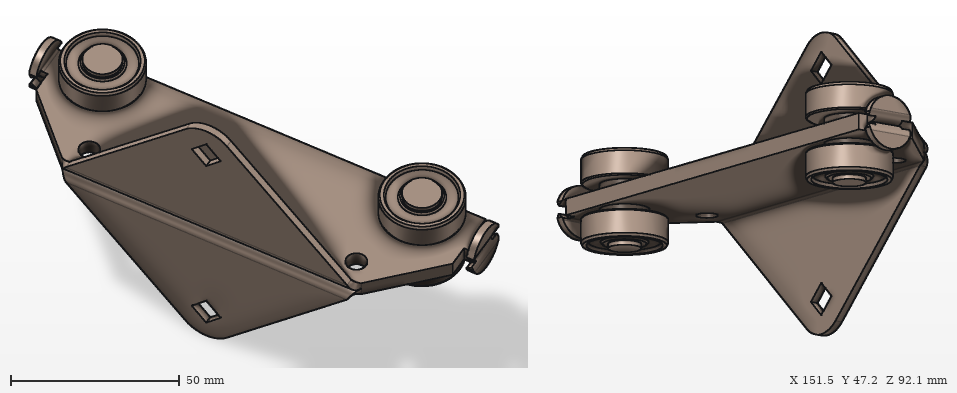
import cadquery as cq
import math


overall_length = 151.5
plate_thickness = 5.0
sheet = plate_thickness / 2
bend_inner_radius = 0.83
bend_radius = sheet + bend_inner_radius

bend_steps = 4

plate_half_length = 70.9
plate_back = 9.2
plate_corner_y = -10.9
flange_front = -34.2
bend_start_y = flange_front + bend_radius
bend_half_length = plate_half_length - (plate_corner_y - bend_start_y)

flange_half_width = 47.9
flange_apex = 50.0
flange_corner_radius = 10.0
square_hole_side = 7.0
square_hole_height = 35.3

plate_hole_diameter = 6.5
plate_hole_x = 45.5
plate_hole_y = -24.1

disc_diameter = 16.2
disc_width = 15.5
disc_y = 1.0
tab_width = 10.0
relief_angle = math.radians(50)
disc_outer_x = overall_length / 2

roller_x = 54.4
roller_radius = 26.0 / 2
roller_inner_z = 5.2
roller_outer_z = 13.5
chamfer_width = 0.5
outer_chamfer_height = 0.9
inner_chamfer_height = 0.5
recess_rim_radius = 22.7 / 2
recess_floor_radius = 21.7 / 2
recess_depth = 1.0
race_base_radius = 14.4 / 2
race_top_radius = 13.2 / 2
race_height = 0.6
spacer_radius = 15.0 / 2
rivet_head_radius = 12.0 / 2
rivet_tail_radius = 10.0 / 2
rivet_end_z = 14.4


def bent_sheet_profile(workplane, inner_end, outer_face, height):
    """Upper sheet section: flat from inner_end, then bent up to height at outer_face."""
    side = math.copysign(1, outer_face - inner_end)
    bend_start = outer_face - side * bend_radius
    diagonal = math.sqrt(0.5)
    return (
        workplane.moveTo(inner_end, 0)
        .lineTo(bend_start, 0)
        .threePointArc(
            (bend_start + side * bend_radius * diagonal, bend_radius * (1 - diagonal)),
            (outer_face, bend_radius),
        )
        .lineTo(outer_face, height)
        .lineTo(outer_face - side * sheet, height)
        .lineTo(outer_face - side * sheet, bend_radius)
        .threePointArc(
            (bend_start + side * bend_inner_radius * diagonal, bend_radius - bend_inner_radius * diagonal),
            (bend_start, sheet),
        )
        .lineTo(inner_end, sheet)
        .close()
    )


def bend_envelope():
    """Block around the flange bend whose ends taper evenly with the bend angle."""
    near_radius = bend_inner_radius / 2
    far_radius = bend_radius * 1.5
    stations = []
    for step in range(bend_steps + 1):
        progress = step / bend_steps
        angle = progress * math.pi / 2
        half_width = bend_half_length + progress * (flange_half_width - bend_half_length)
        corners = [
            (x, bend_start_y - radius * math.sin(angle), bend_radius - radius * math.cos(angle))
            for x, radius in (
                (-half_width, near_radius),
                (half_width, near_radius),
                (half_width, far_radius),
                (-half_width, far_radius),
            )
        ]
        stations.append(cq.Wire.makePolygon([cq.Vector(*corner) for corner in corners], close=True))
    return cq.Workplane(cq.Solid.makeLoft(stations, False))


def upper_plate_and_flange():
    """Sheet with its diamond-shaped flange, above Z = 0."""
    section = bent_sheet_profile(cq.Workplane("YZ"), plate_back, flange_front, flange_apex)
    sheet_body = section.extrude(plate_half_length, both=True)

    plate_outline = (
        cq.Workplane("XY")
        .polyline([
            (-plate_half_length, plate_back),
            (-plate_half_length, plate_corner_y),
            (-bend_half_length, bend_start_y),
            (bend_half_length, bend_start_y),
            (plate_half_length, plate_corner_y),
            (plate_half_length, plate_back),
        ])
        .close()
        .extrude(sheet)
    )
    flange_outline = (
        cq.Workplane("XZ", origin=(0, flange_front, 0))
        .polyline([(-flange_half_width, bend_radius), (flange_half_width, bend_radius), (0, flange_apex)])
        .close()
        .extrude(-sheet)
        .edges(">Z")
        .fillet(flange_corner_radius)
    )
    plate = sheet_body.intersect(plate_outline)
    bend = sheet_body.intersect(bend_envelope())
    flange = sheet_body.intersect(flange_outline)
    return plate.union(bend).union(flange)


def upper_end_tab():
    """Tab at the +X end, bent up into half of a bumper disc."""
    disc_radius = disc_diameter / 2
    section = bent_sheet_profile(
        cq.Workplane("XZ", origin=(0, disc_y, 0)), plate_half_length, disc_outer_x, disc_radius
    )
    disc = (
        cq.Workplane("YZ", origin=(plate_half_length, disc_y, 0))
        .circle(disc_radius)
        .extrude(disc_outer_x - plate_half_length)
    )
    tab = section.extrude(disc_width / 2, both=True).intersect(disc)

    bend_axis_x = disc_outer_x - bend_radius
    relief_width = (disc_width - tab_width) / 2
    for side in (-1, 1):
        y = disc_y + side * (tab_width + relief_width) / 2
        relief = (
            cq.Workplane("XZ", origin=(0, y, 0))
            .polyline([
                (plate_half_length, 0),
                (bend_axis_x + bend_radius * math.tan(relief_angle), 0),
                (bend_axis_x, bend_radius),
                (plate_half_length, bend_radius),
            ])
            .close()
            .extrude(relief_width / 2, both=True)
        )
        tab = tab.cut(relief)
    return tab


def roller():
    """Upper roller with spacer and bearing race, turned about Z."""
    floor_z = roller_outer_z - recess_depth
    return (
        cq.Workplane("XZ")
        .polyline([
            (0, 0),
            (spacer_radius, 0),
            (spacer_radius, roller_inner_z),
            (roller_radius - chamfer_width, roller_inner_z),
            (roller_radius, roller_inner_z + inner_chamfer_height),
            (roller_radius, roller_outer_z - outer_chamfer_height),
            (roller_radius - chamfer_width, roller_outer_z),
            (recess_rim_radius, roller_outer_z),
            (recess_floor_radius, floor_z),
            (race_base_radius, floor_z),
            (race_top_radius, floor_z + race_height),
            (0, floor_z + race_height),
        ])
        .close()
        .revolve(360, (0, 0), (0, 1))
    )


def roller_pair():
    """Two opposed rollers on a rivet with a wide head on top and a narrow tail below."""
    upper = roller()
    head = cq.Workplane("XY").circle(rivet_head_radius).extrude(rivet_end_z)
    tail = cq.Workplane("XY").circle(rivet_tail_radius).extrude(-rivet_end_z)
    return upper.union(upper.mirror("XY")).union(head).union(tail)


end_tab = upper_end_tab()
upper_sheet = upper_plate_and_flange().union(end_tab).union(end_tab.mirror("YZ"))
bracket = upper_sheet.union(upper_sheet.mirror("XY"))

plate_holes = (
    cq.Workplane("XY", origin=(0, 0, -sheet))
    .pushPoints([(-plate_hole_x, plate_hole_y), (plate_hole_x, plate_hole_y)])
    .circle(plate_hole_diameter / 2)
    .extrude(plate_thickness)
)
bracket = bracket.cut(plate_holes)

for z in (-square_hole_height, square_hole_height):
    square_hole = (
        cq.Workplane("XZ", origin=(0, flange_front, z))
        .transformed(rotate=(0, 0, 45))
        .rect(square_hole_side, square_hole_side)
        .extrude(-sheet)
    )
    bracket = bracket.cut(square_hole)

result = bracket
for x in (-roller_x, roller_x):
    result = result.union(roller_pair().translate((x, 0, 0)))